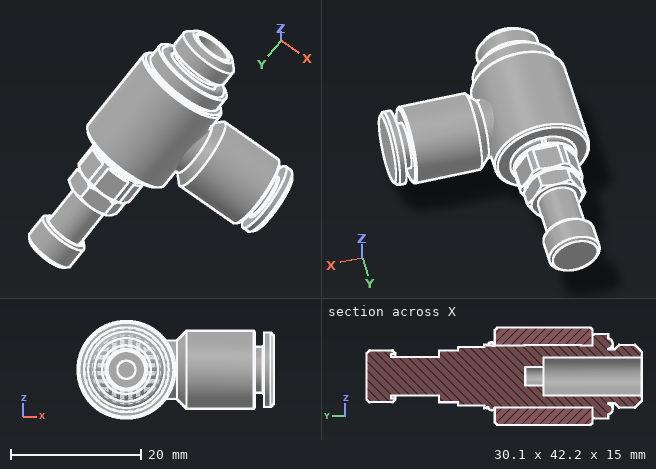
import cadquery as cq
import math


OVERALL_WIDTH = 30.1

HOUSING_LENGTH = 15.0
HOUSING_RADIUS = HOUSING_LENGTH / 2
HOUSING_TOP = HOUSING_LENGTH / 2
HOUSING_BOTTOM = -HOUSING_LENGTH / 2
HOUSING_TOP_CHAMFER = 0.4
HOUSING_BOTTOM_CHAMFER = 0.3
PORT_NECK_RADIUS = 4.5
PORT_NECK_END = 7.75
PORT_NECK_FILLET = 0.15
PORT_RADIUS = 6.0
PORT_SHOULDER = PORT_NECK_END + (PORT_RADIUS - PORT_NECK_RADIUS)
PORT_END = 19.73
PORT_CHAMFER = 0.25

COLLAR_NECK_RADIUS = 3.55
COLLAR_RADIUS = 5.75
COLLAR_BACK = 21.08
COLLAR_END = OVERALL_WIDTH - HOUSING_RADIUS
COLLAR_CHAMFER = 0.5
COLLAR_FLARE = 0.2

STEM_LENGTH = 42.25
THREAD_END = -15.1
THREAD_RADIUS = 4.85
THREAD_START = -11.57
THREAD_CHAMFER = 1.1
RELIEF_RADIUS = 4.15
RELIEF_BOTTOM = THREAD_START + (THREAD_RADIUS - RELIEF_RADIUS)
FLANGE_RADIUS = 6.5
FLANGE_BOTTOM = -9.93
FLANGE_CHAMFER = 0.2
SEAL_RING_RADIUS = 5.03
SEAL_RING_THICKNESS_RADIUS = 0.85
SEAL_RING_LEVEL = -9.75
SHAFT_RADIUS = 4.75
SHOULDER_RADIUS = 4.9
SHOULDER_BOTTOM = 8.65
HEX_BOTTOM = 9.12
NUT_BOTTOM = 13.15
NUT_TOP = 16.05
KNOB_BOTTOM = 22.7
STEM_TOP = THREAD_END + STEM_LENGTH
SPINDLE_RADIUS = 3.0
KNOB_RADIUS = 4.0
KNOB_CHAMFER = 0.45
KNOB_RECESS_RADIUS = 3.4
KNOB_RECESS_DEPTH = 0.68

HEX_ACROSS_FLATS = 9.0
HEX_CHAMFER_HEIGHT = 0.35
HEX_CHAMFER_WIDTH = 0.5
NUT_ACROSS_FLATS = 8.0
NUT_CHAMFER_HEIGHT = 0.4

SNAP_RING_THICKNESS_RADIUS = 0.5
SNAP_RING_RADIUS = SHAFT_RADIUS
SNAP_RING_LEVEL = HOUSING_TOP + SNAP_RING_THICKNESS_RADIUS
SNAP_RING_GAP = 0.55

MOUTH_RADIUS = 3.15
MOUTH_DEPTH = 0.1
BORE_RADIUS = 2.87
BORE_FLOOR = 0.0
PILOT_RADIUS = 1.4
PILOT_DEPTH = 2 * PILOT_RADIUS


def turned_about_y(radius_level_points):
    """Solid of revolution about Y from (radius, y) outline points, closed along the axis."""
    first_level = radius_level_points[0][1]
    last_level = radius_level_points[-1][1]
    outline = [(0, first_level), *radius_level_points, (0, last_level)]
    return cq.Workplane("XY").polyline(outline).close().revolve(360, (0, 0), (0, 1))


def cylinder_along_y(radius, bottom, top):
    return turned_about_y([(radius, bottom), (radius, top)])


def ring_about_y(ring_radius, thickness_radius, level):
    return (
        cq.Workplane("XY")
        .center(ring_radius, level)
        .circle(thickness_radius)
        .revolve(360, (-ring_radius, 0), (-ring_radius, 1))
    )


def hexagon_along_y(across_flats, bottom, top):
    across_corners = across_flats / math.cos(math.pi / 6)
    return (
        cq.Workplane("XZ", origin=(0, bottom, 0))
        .polygon(6, across_corners)
        .extrude(bottom - top)
    )



def make_housing():
    return turned_about_y([
        (HOUSING_RADIUS - HOUSING_BOTTOM_CHAMFER, HOUSING_BOTTOM),
        (HOUSING_RADIUS, HOUSING_BOTTOM + HOUSING_BOTTOM_CHAMFER),
        (HOUSING_RADIUS, HOUSING_TOP - HOUSING_TOP_CHAMFER),
        (HOUSING_RADIUS - HOUSING_TOP_CHAMFER, HOUSING_TOP),
    ])


def make_port_neck():
    return cq.Workplane("YZ").circle(PORT_NECK_RADIUS).extrude(PORT_NECK_END)


def make_port():
    """Port barrel and release collar, turned about X."""
    outline = [
        (PORT_NECK_END, 0),
        (PORT_NECK_END, PORT_NECK_RADIUS),
        (PORT_SHOULDER, PORT_RADIUS),
        (PORT_END - PORT_CHAMFER, PORT_RADIUS),
        (PORT_END, PORT_RADIUS - PORT_CHAMFER),
        (PORT_END, COLLAR_NECK_RADIUS),
        (COLLAR_BACK - COLLAR_FLARE, COLLAR_NECK_RADIUS),
        (COLLAR_BACK, COLLAR_NECK_RADIUS + COLLAR_FLARE),
        (COLLAR_BACK, COLLAR_RADIUS),
        (COLLAR_END - COLLAR_CHAMFER, COLLAR_RADIUS),
        (COLLAR_END, COLLAR_RADIUS - COLLAR_CHAMFER),
        (COLLAR_END, 0),
    ]
    return cq.Workplane("XY").polyline(outline).close().revolve(360, (0, 0), (1, 0))


def make_elbow():
    housing_and_neck = make_housing().union(make_port_neck())
    joint = cq.selectors.BoxSelector(
        (HOUSING_RADIUS / 2, -PORT_NECK_RADIUS, -PORT_NECK_RADIUS),
        (PORT_NECK_END - PORT_NECK_FILLET, PORT_NECK_RADIUS, PORT_NECK_RADIUS),
    )
    housing_and_neck = housing_and_neck.edges(joint).fillet(PORT_NECK_FILLET)
    stem_hole = cylinder_along_y(SHAFT_RADIUS, HOUSING_BOTTOM, HOUSING_TOP)
    return housing_and_neck.union(make_port()).cut(stem_hole)



def make_lower_stem():
    """Thread, relief, flange, shaft inside the housing and the shoulder above it."""
    return turned_about_y([
        (THREAD_RADIUS - THREAD_CHAMFER, THREAD_END),
        (THREAD_RADIUS, THREAD_END + THREAD_CHAMFER),
        (THREAD_RADIUS, THREAD_START),
        (RELIEF_RADIUS, RELIEF_BOTTOM),
        (RELIEF_RADIUS, FLANGE_BOTTOM),
        (FLANGE_RADIUS, FLANGE_BOTTOM),
        (FLANGE_RADIUS, HOUSING_BOTTOM - FLANGE_CHAMFER),
        (FLANGE_RADIUS - FLANGE_CHAMFER, HOUSING_BOTTOM),
        (SHAFT_RADIUS, HOUSING_BOTTOM),
        (SHAFT_RADIUS, SHOULDER_BOTTOM),
        (SHOULDER_RADIUS, SHOULDER_BOTTOM),
        (SHOULDER_RADIUS, HEX_BOTTOM),
    ])


def make_seal_ring():
    return ring_about_y(SEAL_RING_RADIUS, SEAL_RING_THICKNESS_RADIUS, SEAL_RING_LEVEL)


def make_snap_ring():
    ring = ring_about_y(SNAP_RING_RADIUS, SNAP_RING_THICKNESS_RADIUS, SNAP_RING_LEVEL)
    gap = (
        cq.Workplane("XY", origin=(0, SNAP_RING_LEVEL, 0))
        .rect(SNAP_RING_GAP, 2 * SNAP_RING_THICKNESS_RADIUS)
        .extrude(SNAP_RING_RADIUS + 2 * SNAP_RING_THICKNESS_RADIUS)
    )
    return ring.cut(gap)


def make_wrench_hex():
    """Round body with six flats milled on it and a chamfered top."""
    round_body = turned_about_y([
        (SHOULDER_RADIUS, HEX_BOTTOM),
        (SHOULDER_RADIUS, NUT_BOTTOM - HEX_CHAMFER_HEIGHT),
        (SHOULDER_RADIUS - HEX_CHAMFER_WIDTH, NUT_BOTTOM),
    ])
    return round_body.intersect(hexagon_along_y(HEX_ACROSS_FLATS, HEX_BOTTOM, NUT_BOTTOM))


def make_lock_nut():
    """Hexagon with its corners turned down at both ends."""
    face_radius = NUT_ACROSS_FLATS / 2
    corner_radius = face_radius / math.cos(math.pi / 6)
    envelope = turned_about_y([
        (face_radius, NUT_BOTTOM),
        (corner_radius, NUT_BOTTOM + NUT_CHAMFER_HEIGHT),
        (corner_radius, NUT_TOP - NUT_CHAMFER_HEIGHT),
        (face_radius, NUT_TOP),
    ])
    return envelope.intersect(hexagon_along_y(NUT_ACROSS_FLATS, NUT_BOTTOM, NUT_TOP))


def make_spindle_and_knob():
    """Spindle carrying a knob whose underside is recessed around it."""
    return turned_about_y([
        (SPINDLE_RADIUS, NUT_TOP),
        (SPINDLE_RADIUS, KNOB_BOTTOM + KNOB_RECESS_DEPTH),
        (KNOB_RECESS_RADIUS, KNOB_BOTTOM + KNOB_RECESS_DEPTH),
        (KNOB_RECESS_RADIUS, KNOB_BOTTOM),
        (KNOB_RADIUS - KNOB_CHAMFER, KNOB_BOTTOM),
        (KNOB_RADIUS, KNOB_BOTTOM + KNOB_CHAMFER),
        (KNOB_RADIUS, STEM_TOP - KNOB_CHAMFER),
        (KNOB_RADIUS - KNOB_CHAMFER, STEM_TOP),
    ])


def make_bore():
    return turned_about_y([
        (MOUTH_RADIUS, THREAD_END),
        (MOUTH_RADIUS, THREAD_END + MOUTH_DEPTH),
        (BORE_RADIUS, THREAD_END + MOUTH_DEPTH),
        (BORE_RADIUS, BORE_FLOOR),
        (PILOT_RADIUS, BORE_FLOOR),
        (PILOT_RADIUS, BORE_FLOOR + PILOT_DEPTH),
    ])


def make_stem():
    stem = make_lower_stem()
    for section in (
        make_seal_ring(),
        make_snap_ring(),
        make_wrench_hex(),
        make_lock_nut(),
        make_spindle_and_knob(),
    ):
        stem = stem.union(section)
    return stem.cut(make_bore())


elbow = make_elbow()
stem = make_stem()

result = cq.Compound.makeCompound([elbow.solids().val(), stem.solids().val()])